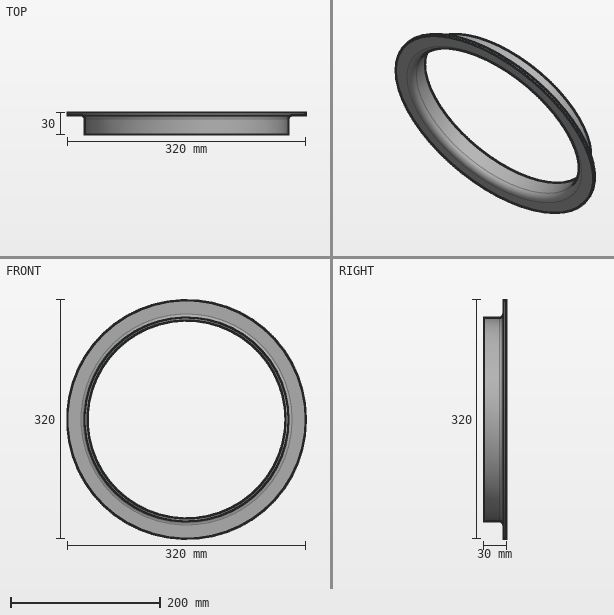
import cadquery as cq

flange_diameter = 320.0
neck_diameter = 273.3
total_length = 30.0
sheet_thickness = 4.0
inside_bend_radius = 4.8

flange_radius = flange_diameter / 2
neck_radius = neck_diameter / 2
bore_radius = neck_radius - sheet_thickness
flange_front = total_length - sheet_thickness
bend_start = flange_front - inside_bend_radius
bend_end_radius = neck_radius + inside_bend_radius

section = (
    cq.Workplane("XY")
    .moveTo(bore_radius, 0)
    .lineTo(neck_radius, 0)
    .lineTo(neck_radius, bend_start)
    .tangentArcPoint((bend_end_radius, flange_front), relative=False)
    .lineTo(flange_radius, flange_front)
    .lineTo(flange_radius, total_length)
    .lineTo(bend_end_radius, total_length)
    .tangentArcPoint((bore_radius, bend_start), relative=False)
    .close()
)

result = section.revolve(360, (0, 0, 0), (0, 1, 0))